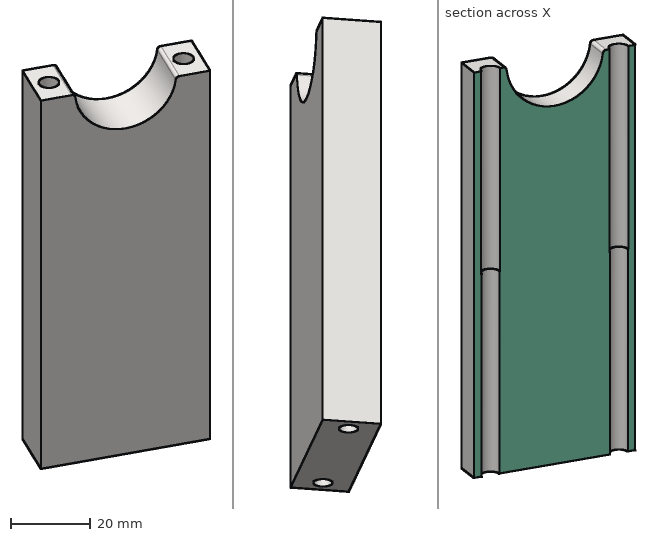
import cadquery as cq

width = 15.0
depth = 45.0
height = 110.0

saddle_radius = 13.4
saddle_axis_rise = 0.7
saddle_edge_round = 1.0

hole_spacing = 35.8
upper_hole_diameter = 5.2
lower_hole_diameter = 4.8
upper_hole_depth = height / 2


def make_block():
    """Plain block standing on the XY plane."""
    return cq.Workplane("XY").box(width, depth, height, centered=(True, True, False))


def cut_saddle(body):
    """Cut the saddle along X and round its two upper edges."""
    saddle = (
        cq.Workplane("YZ")
        .center(0, height + saddle_axis_rise)
        .circle(saddle_radius)
        .extrude(width / 2, both=True)
    )
    body = body.cut(saddle)
    edge_zone = cq.selectors.BoxSelector(
        (-width, -saddle_radius - saddle_edge_round, height - saddle_edge_round),
        (width, saddle_radius + saddle_edge_round, height + saddle_edge_round),
    )
    return body.edges("|X").edges(edge_zone).fillet(saddle_edge_round)


def make_hole(y):
    """Through hole, slightly wider in its upper part."""
    lower = cq.Workplane("XY").center(0, y).circle(lower_hole_diameter / 2).extrude(height)
    upper = (
        cq.Workplane("XY", origin=(0, y, height))
        .circle(upper_hole_diameter / 2)
        .extrude(-upper_hole_depth)
    )
    return lower.union(upper)


result = cut_saddle(make_block())
for side in (-1, 1):
    result = result.cut(make_hole(side * hole_spacing / 2))